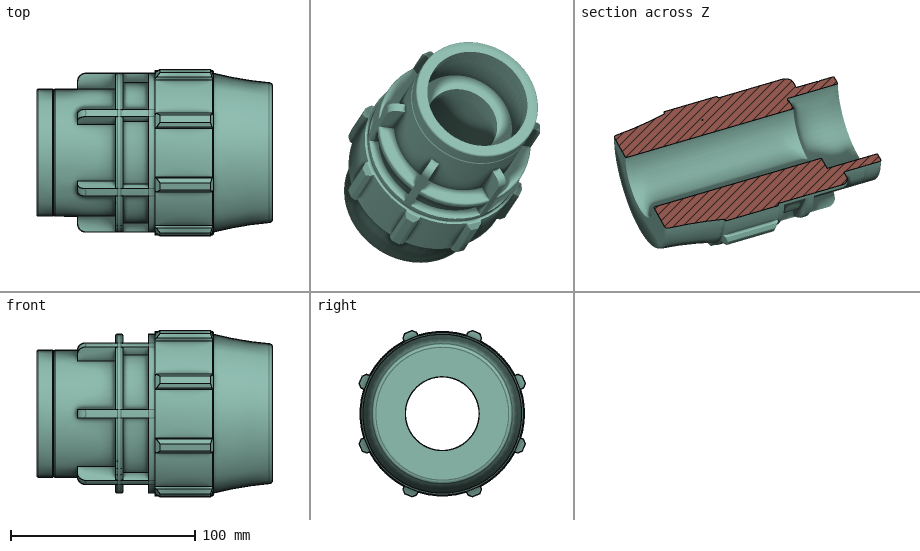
import cadquery as cq
import math

length = 128.0

tube_radius = 34.5
tube_end_round = 0.9
groove_start = 8.6
groove_width = 1.2
groove_depth = 0.5

ring_start = 42.8
ring_width = 4.1
ring_front_round = 1.0
ring_back_round = 1.3
neck_radius = 38.1
collar_start = 60.5
collar_radius = 86.4 / 2

rib_count = 6
rib_start = 22.0
rib_width = 4.6
rib_corner_radius = 4.7

nut_start = 64.3
nut_end = 95.9
nut_radius = 44.7
nut_end_chamfer = 0.5
lug_count = 8
lug_tip_radius = 48.0
lug_width = 8.2
lug_flank_chamfer = 1.9
lug_front_chamfer = 2.5
lug_back_bevel = 1.5

nose_base_radius = 43.1
nose_tip_radius = 38.0
nose_hollow = 0.6
nose_round = 1.9

socket_radius = 56.7 / 2
socket_depth = 29.5
bore_radius = 40.0 / 2

root_radius = 32.0


def make_body():
    """Solid of revolution holding everything round on the outside."""
    ring_end = ring_start + ring_width
    groove_end = groove_start + groove_width
    nose_round_start = length - nose_round
    round_middle = nose_round * math.sqrt(0.5)
    nose_middle = (
        (nut_end + nose_round_start) / 2,
        (nose_base_radius + nose_tip_radius) / 2 - nose_hollow,
    )
    outline = (
        cq.Workplane("XY")
        .moveTo(0, 0)
        .lineTo(0, tube_radius)
        .lineTo(groove_start, tube_radius)
        .lineTo((groove_start + groove_end) / 2, tube_radius - groove_depth)
        .lineTo(groove_end, tube_radius)
        .lineTo(ring_start, tube_radius)
        .lineTo(ring_start, collar_radius - ring_front_round)
        .radiusArc((ring_start + ring_front_round, collar_radius), ring_front_round)
        .lineTo(ring_end - ring_back_round, collar_radius)
        .radiusArc((ring_end, collar_radius - ring_back_round), ring_back_round)
        .lineTo(ring_end, neck_radius)
        .lineTo(collar_start, neck_radius)
        .lineTo(collar_start, collar_radius)
        .lineTo(nut_start, collar_radius)
        .lineTo(nut_start, nut_radius)
        .lineTo(nut_end - nut_end_chamfer, nut_radius)
        .lineTo(nut_end, nut_radius - nut_end_chamfer)
        .lineTo(nut_end, nose_base_radius)
        .threePointArc(nose_middle, (nose_round_start, nose_tip_radius))
        .threePointArc(
            (nose_round_start + round_middle, nose_tip_radius - nose_round + round_middle),
            (length, nose_tip_radius - nose_round),
        )
        .lineTo(length, 0)
        .close()
    )
    body = outline.revolve(360, (0, 0, 0), (1, 0, 0))
    return body.faces("<X").edges().fillet(tube_end_round)


def make_rib():
    """One rib pointing along +Y, its outer face flush with the collar."""
    blank = (
        cq.Workplane("XY")
        .moveTo(rib_start, root_radius)
        .lineTo(rib_start, collar_radius - rib_corner_radius)
        .radiusArc((rib_start + rib_corner_radius, collar_radius), rib_corner_radius)
        .lineTo(nut_start, collar_radius)
        .lineTo(nut_start, root_radius)
        .close()
        .extrude(rib_width / 2, both=True)
    )
    envelope = cq.Workplane("YZ").circle(collar_radius).extrude(length)
    return blank.intersect(envelope)


def make_lug():
    """One grip lug pointing along +Y, with bevelled flanks and ends."""
    half_width = lug_width / 2
    flank_radius = lug_tip_radius - lug_flank_chamfer
    half_tip = half_width - lug_flank_chamfer
    back_edge_radius = nut_radius - nut_end_chamfer
    section = (
        cq.Workplane("YZ", origin=(nut_start, 0, 0))
        .polyline([
            (root_radius, -half_width),
            (flank_radius, -half_width),
            (lug_tip_radius, -half_tip),
            (lug_tip_radius, half_tip),
            (flank_radius, half_width),
            (root_radius, half_width),
        ])
        .close()
        .extrude(nut_end - nut_start)
    )
    side = (
        cq.Workplane("XY")
        .polyline([
            (nut_start, root_radius),
            (nut_start, lug_tip_radius - lug_front_chamfer),
            (nut_start + lug_front_chamfer, lug_tip_radius),
            (nut_end - lug_back_bevel, lug_tip_radius),
            (nut_end, back_edge_radius),
            (nut_end, root_radius),
        ])
        .close()
        .extrude(half_width, both=True)
    )
    return section.intersect(side)


def add_around_axis(body, feature, count, first_angle):
    """Join evenly spaced copies of a feature, turned about the X axis."""
    for index in range(count):
        angle = first_angle + index * 360 / count
        body = body.union(feature.rotate((0, 0, 0), (1, 0, 0), angle))
    return body


def cut_bores(body):
    """Through bore, opened to a wider socket at the spigot end."""
    bore = cq.Workplane("YZ").circle(bore_radius).extrude(length)
    socket = cq.Workplane("YZ").circle(socket_radius).extrude(socket_depth)
    return body.cut(bore).cut(socket)


fitting = make_body()
fitting = add_around_axis(fitting, make_rib(), rib_count, 0)
fitting = add_around_axis(fitting, make_lug(), lug_count, 180 / lug_count)
result = cut_bores(fitting)